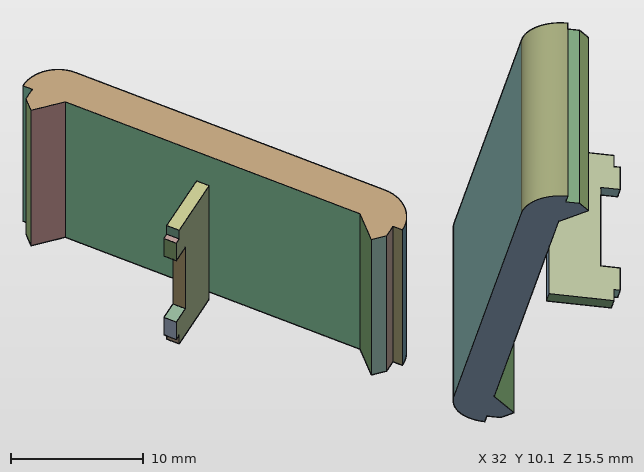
import cadquery as cq

cover_length = 32.0
cover_height = 15.5
cover_thickness = 2.98
hook_inset = 0.8
hook_depth = 1.92
hook_tip_inset = 1.65

plate_thickness = 1.05
plate_height = 13.0
plate_gap = 1.63
plate_depth = 5.47
notch_height = 7.0
notch_depth = 1.5
corner_step_height = 1.0
corner_step_depth = 0.48


def make_hook(side):
    """Pointed hook with 45 degree flanks; side is -1 for the -X end and 1 for the +X end."""
    outer_x = cover_length / 2 - hook_inset
    tip_x = cover_length / 2 - hook_tip_inset
    inner_x = tip_x - hook_depth
    wall_depth = hook_depth - (outer_x - tip_x)
    return (
        cq.Workplane("XY")
        .polyline([
            (side * outer_x, 0),
            (side * outer_x, -wall_depth),
            (side * tip_x, -hook_depth),
            (side * inner_x, 0),
        ])
        .close()
        .extrude(cover_height / 2, both=True)
    )


def make_cover():
    """Bar with its front face at Y = 0, joined with both hooks."""
    cover = (
        cq.Workplane("XY")
        .moveTo(-cover_length / 2, 0)
        .lineTo(cover_length / 2, 0)
        .radiusArc((cover_length / 2 - cover_thickness, cover_thickness), -cover_thickness)
        .lineTo(-cover_length / 2 + cover_thickness, cover_thickness)
        .radiusArc((-cover_length / 2, 0), -cover_thickness)
        .close()
        .extrude(cover_height / 2, both=True)
    )
    for side in (-1, 1):
        cover = cover.union(make_hook(side))
    return cover


def make_clip_plate():
    """Upright plate whose front edge has a central notch and two stepped corners."""
    front_y = -plate_gap - plate_depth
    plate = cq.Workplane("XY").box(plate_thickness, plate_depth, plate_height)
    plate = plate.translate((0, front_y + plate_depth / 2, 0))

    notch = cq.Workplane("XY").box(plate_thickness, notch_depth, notch_height)
    plate = plate.cut(notch.translate((0, front_y + notch_depth / 2, 0)))

    step = cq.Workplane("XY").box(plate_thickness, corner_step_depth, corner_step_height)
    step_z = (plate_height - corner_step_height) / 2
    for side in (-1, 1):
        plate = plate.cut(step.translate((0, front_y + corner_step_depth / 2, side * step_z)))
    return plate


cover = make_cover()
clip_plate = make_clip_plate()
result = cq.Compound.makeCompound([cover.solids().val(), clip_plate.solids().val()])